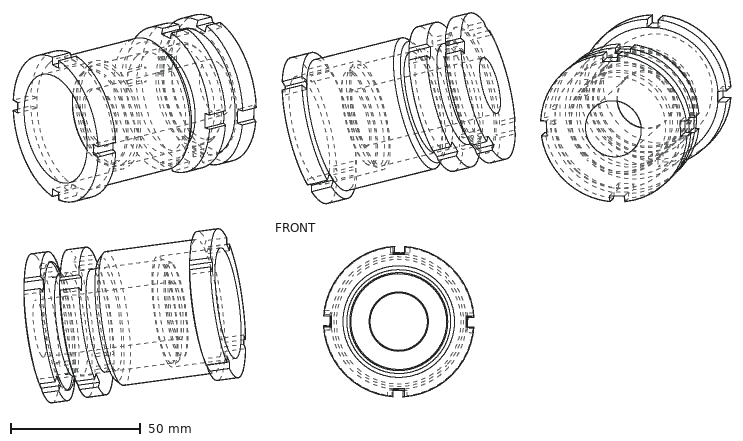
import cadquery as cq
import math

TOTAL_LENGTH = 74.6
FLANGE_RADIUS = 29.0
THREAD_RADIUS = 20.0

RIM_BEVEL_LENGTH = 0.8
BEVEL_INNER_RADIUS = 26.0
SLOT_COUNT = 4

SLEEVE_LENGTH = 46.9
SLEEVE_RADIUS = BEVEL_INNER_RADIUS
SLEEVE_CHAMFER = 2.0
SLEEVE_FLANGE_THICKNESS = 9.0
SLEEVE_BORE_RADIUS = 21.5
SLEEVE_BORE_DEPTH = 25.0
SLEEVE_SLOT_WIDTH = 4.25
SLEEVE_SLOT_FLOOR = 25.8
SLEEVE_SLOT_TURN = 0.0

NUT_RADIUS = 28.7
NUT_START = 51.4
NUT_THICKNESS = 9.0

SPINDLE_START = 20.4
SPINDLE_FLANGE_THICKNESS = 8.0
RECESS_RADIUS = 25.0
RECESS_DEPTH = 0.75
NECK_RADIUS = 18.9
RUN_OUT_FILLET = 1.0
THREAD_START = 23.1
THREAD_END = 63.85
TIP_CHAMFER = 0.45
SPINDLE_HOLE_RADIUS = 11.05
HOLE_CHAMFER_WIDTH = 0.4
HOLE_CHAMFER_LENGTH = 0.8

RING_SLOT_WIDTH = 5.9
RING_SLOT_FLOOR = 26.5
NUT_SLOT_TURN = 0.6
SPINDLE_SLOT_TURN = -2.8


def revolve_profile(points):
    """Solid of revolution about Y from (radius, y) points."""
    return cq.Workplane("XY").polyline(points).close().revolve(360, (0, 0, 0), (0, 1, 0))


def cut_rim_slots(body, y_start, thickness, width, floor_distance, turn):
    """Cut evenly spaced slots through a flange rim."""
    height = FLANGE_RADIUS
    for index in range(SLOT_COUNT):
        slot = (
            cq.Workplane("XY")
            .box(width, thickness, height, centered=(True, False, False))
            .translate((0, y_start, floor_distance))
            .rotate((0, 0, 0), (0, 1, 0), index * 360 / SLOT_COUNT - turn)
        )
        body = body.cut(slot)
    return body


def make_sleeve():
    flange_end = SLEEVE_FLANGE_THICKNESS
    body = revolve_profile([
        (THREAD_RADIUS, SLEEVE_BORE_DEPTH),
        (SLEEVE_BORE_RADIUS, SLEEVE_BORE_DEPTH),
        (SLEEVE_BORE_RADIUS, 0),
        (FLANGE_RADIUS, 0),
        (FLANGE_RADIUS, flange_end - RIM_BEVEL_LENGTH),
        (SLEEVE_RADIUS, flange_end),
        (SLEEVE_RADIUS, SLEEVE_LENGTH - SLEEVE_CHAMFER),
        (SLEEVE_RADIUS - SLEEVE_CHAMFER, SLEEVE_LENGTH),
        (THREAD_RADIUS, SLEEVE_LENGTH),
    ])
    return cut_rim_slots(body, 0, flange_end, SLEEVE_SLOT_WIDTH, SLEEVE_SLOT_FLOOR, SLEEVE_SLOT_TURN)


def make_lock_nut():
    nut_end = NUT_START + NUT_THICKNESS
    body = revolve_profile([
        (THREAD_RADIUS, NUT_START),
        (BEVEL_INNER_RADIUS, NUT_START),
        (NUT_RADIUS, NUT_START + RIM_BEVEL_LENGTH),
        (NUT_RADIUS, nut_end - RIM_BEVEL_LENGTH),
        (BEVEL_INNER_RADIUS, nut_end),
        (THREAD_RADIUS, nut_end),
    ])
    return cut_rim_slots(body, NUT_START, NUT_THICKNESS, RING_SLOT_WIDTH, RING_SLOT_FLOOR, NUT_SLOT_TURN)


def arc_point(center, radius, angle):
    """Point on an arc, with the angle in degrees from the outward radial direction."""
    turn = math.radians(angle)
    return (center[0] + radius * math.cos(turn), center[1] + radius * math.sin(turn))


def make_spindle():
    flange_start = TOTAL_LENGTH - SPINDLE_FLANGE_THICKNESS
    recess_floor = flange_start + RECESS_DEPTH

    run_out = THREAD_RADIUS - NECK_RADIUS
    tangent_length = RUN_OUT_FILLET * math.tan(math.radians(22.5))
    tip_fillet_start = THREAD_START - run_out - tangent_length
    neck_fillet_end = THREAD_END + run_out + tangent_length
    tip_center = (NECK_RADIUS + RUN_OUT_FILLET, tip_fillet_start)
    neck_center = (NECK_RADIUS + RUN_OUT_FILLET, neck_fillet_end)

    root_center = (NECK_RADIUS + RECESS_DEPTH, flange_start)

    body = (
        cq.Workplane("XY")
        .moveTo(SPINDLE_HOLE_RADIUS, SPINDLE_START + HOLE_CHAMFER_LENGTH)
        .lineTo(SPINDLE_HOLE_RADIUS + HOLE_CHAMFER_WIDTH, SPINDLE_START)
        .lineTo(NECK_RADIUS - TIP_CHAMFER, SPINDLE_START)
        .lineTo(NECK_RADIUS, SPINDLE_START + TIP_CHAMFER)
        .lineTo(NECK_RADIUS, tip_fillet_start)
        .threePointArc(
            arc_point(tip_center, RUN_OUT_FILLET, 157.5),
            arc_point(tip_center, RUN_OUT_FILLET, 135),
        )
        .lineTo(THREAD_RADIUS, THREAD_START)
        .lineTo(THREAD_RADIUS, THREAD_END)
        .lineTo(*arc_point(neck_center, RUN_OUT_FILLET, 225))
        .threePointArc(
            arc_point(neck_center, RUN_OUT_FILLET, 202.5),
            arc_point(neck_center, RUN_OUT_FILLET, 180),
        )
        .lineTo(NECK_RADIUS, flange_start)
        .threePointArc(
            arc_point(root_center, RECESS_DEPTH, 135),
            arc_point(root_center, RECESS_DEPTH, 90),
        )
        .lineTo(RECESS_RADIUS, recess_floor)
        .lineTo(RECESS_RADIUS, flange_start)
        .lineTo(BEVEL_INNER_RADIUS, flange_start)
        .lineTo(FLANGE_RADIUS, flange_start + RIM_BEVEL_LENGTH)
        .lineTo(FLANGE_RADIUS, TOTAL_LENGTH - RIM_BEVEL_LENGTH)
        .lineTo(BEVEL_INNER_RADIUS, TOTAL_LENGTH)
        .lineTo(SPINDLE_HOLE_RADIUS, TOTAL_LENGTH)
        .close()
        .revolve(360, (0, 0, 0), (0, 1, 0))
    )
    return cut_rim_slots(
        body, flange_start, SPINDLE_FLANGE_THICKNESS, RING_SLOT_WIDTH, RING_SLOT_FLOOR, SPINDLE_SLOT_TURN
    )


sleeve = make_sleeve()
lock_nut = make_lock_nut()
spindle = make_spindle()

result = cq.Compound.makeCompound([sleeve.val(), lock_nut.val(), spindle.val()])